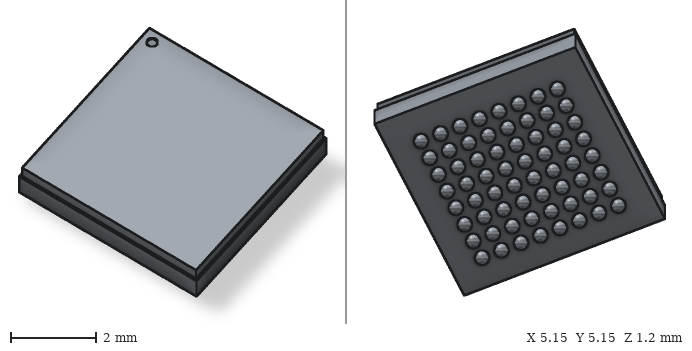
import cadquery as cq

body_side = 5.15
total_height = 1.2

lid_inset = 0.05
lid_height = 0.33
lid_side = body_side - 2 * lid_inset

ball_diameter = 0.345
ball_drop = 0.26
ball_pitch = 0.5
balls_per_side = 8

marker_diameter = 0.26
marker_depth = 0.05
marker_edge_distance = 0.35

substrate_height = total_height - lid_height - ball_drop
lid_top = substrate_height + lid_height


def make_substrate():
    return cq.Workplane("XY").box(body_side, body_side, substrate_height, centered=(True, True, False))


def make_lid():
    return (
        cq.Workplane("XY", origin=(0, 0, substrate_height))
        .box(lid_side, lid_side, lid_height, centered=(True, True, False))
    )


def make_balls():
    """Square grid of balls whose lowest points lie ball_drop below the substrate."""
    center_height = ball_diameter / 2 - ball_drop
    return (
        cq.Workplane("XY", origin=(0, 0, center_height))
        .rarray(ball_pitch, ball_pitch, balls_per_side, balls_per_side)
        .sphere(ball_diameter / 2)
    )


def make_marker():
    """Shallow round recess near the -X, +Y corner of the lid."""
    offset = body_side / 2 - marker_edge_distance
    return (
        cq.Workplane("XY", origin=(-offset, offset, lid_top - marker_depth))
        .circle(marker_diameter / 2)
        .extrude(marker_depth)
    )


result = make_substrate().union(make_lid()).union(make_balls()).cut(make_marker())